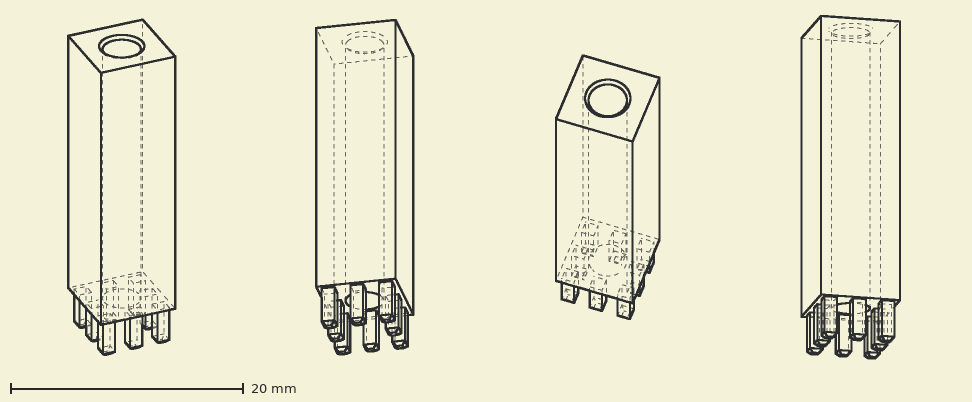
import cadquery as cq

body_width = 7.0
body_height = 25.0

bore_diameter = 3.3
countersink_diameter = 3.9
countersink_depth = (countersink_diameter - bore_diameter) / 2

pin_width = 1.13
pin_length = 3.5
pin_pitch = 2.54
pin_tip_chamfer = 0.3


def make_body():
    """Square column with its base at Z = 0."""
    return cq.Workplane("XY").rect(body_width, body_width).extrude(body_height)


def cut_bore(body):
    """Through bore along Z with a 45 degree countersink in the top face."""
    bored = body.faces(">Z").workplane().hole(bore_diameter)
    countersink = cq.Workplane("XY").add(
        cq.Solid.makeCone(
            bore_diameter / 2,
            countersink_diameter / 2,
            countersink_depth,
            pnt=cq.Vector(0, 0, body_height - countersink_depth),
        )
    )
    return bored.cut(countersink)


def make_pin(x, y):
    """One square pin hanging below the body, its tip chamfered all round."""
    pin = cq.Workplane("XY").center(x, y).rect(pin_width, pin_width).extrude(-pin_length)
    return pin.faces("<Z").chamfer(pin_tip_chamfer)


pin_places = [
    (column * pin_pitch, row * pin_pitch)
    for column in (-1, 0, 1)
    for row in (-1, 0, 1)
    if (column, row) != (0, 0)
]

result = cut_bore(make_body())
for pin_x, pin_y in pin_places:
    result = result.union(make_pin(pin_x, pin_y))